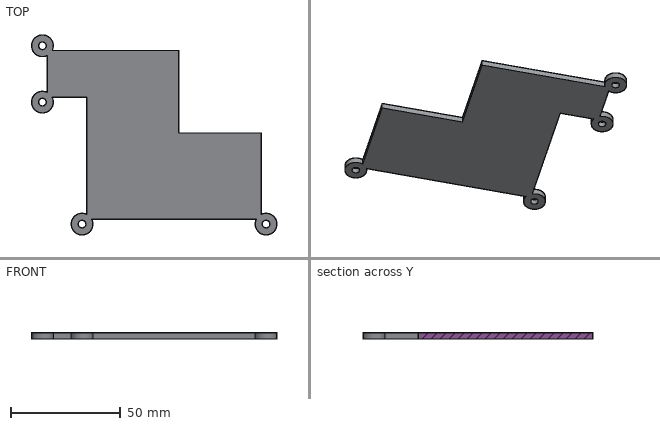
import cadquery as cq
import math

overall_x = 112.16
overall_y = 91.47
thickness = 3.0
tab_diameter = 10.0
hole_diameter = 3.4
tab_corner_distance = 3.0
arm_reach = 18.1
arm_height = 21.5
upper_width = 60.2
lower_height = 39.6

tab_offset = tab_corner_distance / math.sqrt(2)
plate_length = overall_x - tab_diameter - 2 * tab_offset
plate_height = overall_y - tab_diameter - 2 * tab_offset

arm_left = -arm_reach
lower_right = arm_left + plate_length
upper_right = arm_left + upper_width
arm_bottom = plate_height - arm_height

tab_centres = [
    (arm_left - tab_offset, plate_height + tab_offset),
    (arm_left - tab_offset, arm_bottom - tab_offset),
    (-tab_offset, -tab_offset),
    (lower_right + tab_offset, -tab_offset),
]


def stepped_plate():
    """Flat plate with an arm at the upper left and a notch at the upper right."""
    outline = [
        (0, 0),
        (lower_right, 0),
        (lower_right, lower_height),
        (upper_right, lower_height),
        (upper_right, plate_height),
        (arm_left, plate_height),
        (arm_left, arm_bottom),
        (0, arm_bottom),
    ]
    return cq.Workplane("XY").polyline(outline).close().extrude(thickness)


def discs(diameter):
    """Full-thickness discs at every tab centre."""
    return cq.Workplane("XY").pushPoints(tab_centres).circle(diameter / 2).extrude(thickness)


result = stepped_plate().union(discs(tab_diameter)).cut(discs(hole_diameter))